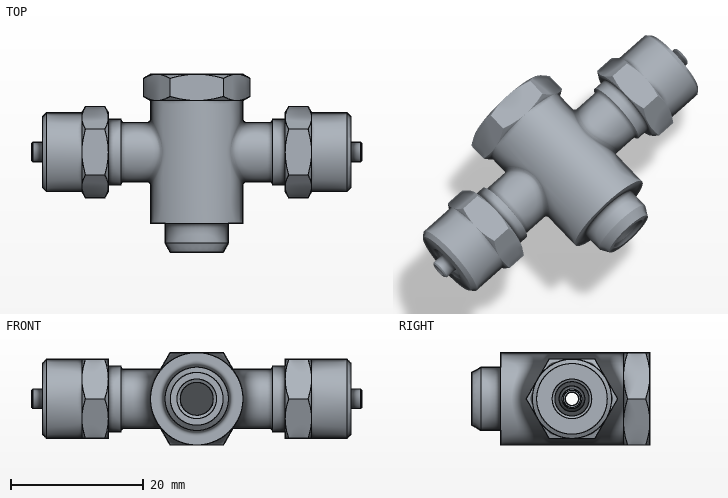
import cadquery as cq
import math


arm_reach = 25.0
bolt_head_end = 11.8
bolt_tip_end = -15.2

body_radius = 7.0
body_back = 6.0
body_front = -9.0
washer_thickness = 1.8
head_height = bolt_head_end - body_back - washer_thickness
spigot_radius = 4.8
spigot_tip_radius = 4.0
spigot_taper_length = 1.4
bore_radius = 2.5
bore_chamfer = 0.5
bore_end = 3.0

arm_radius = 4.5
arm_fillet = 0.5
collar_radius = 5.0
collar_start = 11.5
collar_shoulder_tilt = math.radians(15)
collar_root_fillet = 0.35

nut_radius = 6.0
hex_start = 13.4
hex_end = 17.4
nut_end = 23.4
nut_chamfer = 0.65
recess_radius = 2.6
recess_depth = 1.75
recess_chamfer = 0.4

stem_radius = 1.5
stem_tip_chamfer = 0.2
stem_cone_start = 23.3
stem_root_radius = 1.95
stem_cone_length = 1.5
passage_radius = 1.0

hex_chamfer_angle = math.radians(30)


def revolved(profile, axis):
    """Turn (along, radius) points around the X or Y axis through the origin."""
    if axis == "X":
        points = profile
        axis_end = (1, 0)
    else:
        points = [(radius, along) for along, radius in profile]
        axis_end = (0, 1)
    return cq.Workplane("XY").polyline(points).close().revolve(360, (0, 0), axis_end)


def cylinder(axis, start, end, radius):
    return revolved([(start, 0), (start, radius), (end, radius), (end, 0)], axis)


def chamfered_hex(axis, start, end, inner_radius):
    """Hexagon with two flats facing +Z and -Z, both ends turned down to the inscribed circle."""
    corner_radius = inner_radius / math.cos(math.pi / 6)
    setback = (corner_radius - inner_radius) * math.tan(hex_chamfer_angle)
    corners = [
        (corner_radius * math.cos(i * math.pi / 3), corner_radius * math.sin(i * math.pi / 3))
        for i in range(6)
    ]
    normal = (1, 0, 0) if axis == "X" else (0, 1, 0)
    side = (0, 1, 0) if axis == "X" else (1, 0, 0)
    origin = tuple(start * component for component in normal)
    prism = cq.Workplane(cq.Plane(origin, side, normal)).polyline(corners).close().extrude(end - start)
    envelope = revolved(
        [
            (start, 0),
            (start, inner_radius),
            (start + setback, corner_radius),
            (end - setback, corner_radius),
            (end, inner_radius),
            (end, 0),
        ],
        axis,
    )
    return prism.intersect(envelope)


def body_with_arms():
    """Banjo body crossed by the arm tube, blended where they meet."""
    body = cylinder("Y", body_front, body_back, body_radius)
    tube = cylinder("X", -collar_start, collar_start, arm_radius)
    joined = body.union(tube)
    near_body = cq.selectors.BoxSelector(
        (-body_radius - 0.05, -arm_radius - 0.05, -arm_radius - 0.05),
        (body_radius + 0.05, arm_radius + 0.05, arm_radius + 0.05),
        boundingbox=True,
    )
    return joined.edges(near_body).edges("not %LINE").fillet(arm_fillet)


def bolt():
    """Hex head, two seal washers and the tapered spigot."""
    head = chamfered_hex("Y", bolt_head_end - head_height, bolt_head_end, body_radius)
    back_washer = cylinder("Y", body_back, body_back + washer_thickness, body_radius)
    front_washer = cylinder("Y", body_front - washer_thickness, body_front, body_radius)
    spigot = revolved(
        [
            (body_front, 0),
            (body_front, spigot_radius),
            (bolt_tip_end + spigot_taper_length, spigot_radius),
            (bolt_tip_end, spigot_tip_radius),
            (bolt_tip_end, 0),
        ],
        "Y",
    )
    return head.union(back_washer).union(front_washer).union(spigot)


def bolt_bore():
    """Blind bore with a chamfered mouth."""
    return revolved(
        [
            (bolt_tip_end, 0),
            (bolt_tip_end, bore_radius + bore_chamfer),
            (bolt_tip_end + bore_chamfer, bore_radius),
            (bore_end, bore_radius),
            (bore_end, 0),
        ],
        "Y",
    )


def collar():
    """Collar of the +X arm, its leaning shoulder blended into the arm tube."""
    turn = math.pi / 2 - collar_shoulder_tilt
    tangent = collar_root_fillet * math.tan(turn / 2)
    root = collar_start - (collar_radius - arm_radius) * math.tan(collar_shoulder_tilt)
    arc_start = (
        root + tangent * math.sin(collar_shoulder_tilt),
        arm_radius + tangent * math.cos(collar_shoulder_tilt),
    )
    arc_end = (root - tangent, arm_radius)
    arc_middle = (
        arc_end[0] + collar_root_fillet * math.sin(turn / 2),
        arm_radius + collar_root_fillet * (1 - math.cos(turn / 2)),
    )
    return (
        cq.Workplane("XY")
        .moveTo(hex_end, 0)
        .lineTo(hex_end, collar_radius)
        .lineTo(collar_start, collar_radius)
        .lineTo(*arc_start)
        .threePointArc(arc_middle, arc_end)
        .lineTo(arc_end[0], 0)
        .close()
        .revolve(360, (0, 0), (1, 0))
    )


def hose_end():
    """Collar, compression nut and hose stem of the +X arm."""
    sleeve = revolved(
        [
            (hex_end, 0),
            (hex_end, nut_radius),
            (nut_end - nut_chamfer, nut_radius),
            (nut_end, nut_radius - nut_chamfer),
            (nut_end, 0),
        ],
        "X",
    )
    recess_floor = nut_end - recess_depth
    recess = revolved(
        [
            (recess_floor, 0),
            (recess_floor, recess_radius),
            (nut_end - recess_chamfer, recess_radius),
            (nut_end, recess_radius + recess_chamfer),
            (nut_end, 0),
        ],
        "X",
    )
    stem = revolved(
        [
            (hex_end, 0),
            (hex_end, stem_root_radius),
            (stem_cone_start - stem_cone_length, stem_root_radius),
            (stem_cone_start, stem_radius),
            (arm_reach - stem_tip_chamfer, stem_radius),
            (arm_reach, stem_radius - stem_tip_chamfer),
            (arm_reach, 0),
        ],
        "X",
    )
    hexagon = chamfered_hex("X", hex_start, hex_end, nut_radius)
    return collar().union(hexagon).union(sleeve).cut(recess).union(stem)


right_end = hose_end()
left_end = right_end.mirror("YZ")
passage = cylinder("X", -arm_reach, arm_reach, passage_radius)

result = body_with_arms().union(bolt()).union(right_end).union(left_end)
result = result.cut(bolt_bore()).cut(passage)